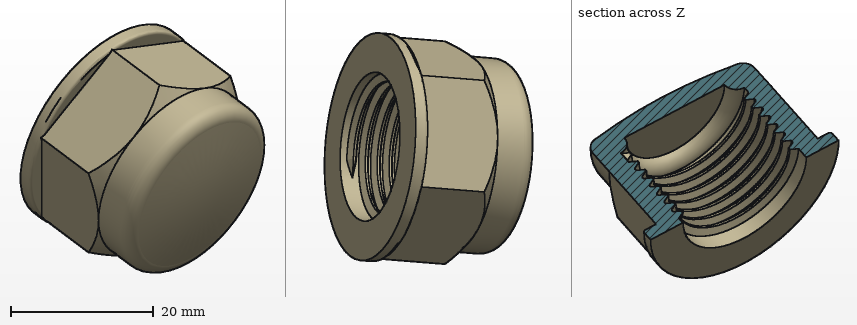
import cadquery as cq
import math


length = 20.5

flange_radius = 16.0
flange_thickness = 2.0
flange_edge_radius = 0.48

across_flats = 27.52
corner_radius = across_flats / 2 / math.cos(math.radians(30))
hex_end = 13.5
hex_bevel_start = 11.45

barrel_radius = across_flats / 2
dome_height = 0.95
shoulder_radius = 2.0
shoulder_end = length - dome_height
shoulder_start = shoulder_end - shoulder_radius
dome_edge_radius = barrel_radius - shoulder_radius
dome_radius = (dome_edge_radius**2 + dome_height**2) / (2 * dome_height)
half_dome_angle = math.asin(dome_edge_radius / dome_radius) / 2

bore_radius = 10.45
bore_depth = 15.35
lip_radius = 2.0
floor_depth = bore_depth + lip_radius
recess_radius = bore_radius - lip_radius

pitch = 1.82
turns = 7
thread_start = 0.95
ridge_height = 1.1
ridge_base = 1.57
ridge_crest = 0.4
ridge_embed = 0.1
runout_length = 2.55
runout_tip_scale = 0.05


def make_flange():
    disc = cq.Workplane("YZ").circle(flange_radius).extrude(flange_thickness)
    return disc.faces(">X").edges().fillet(flange_edge_radius)


def make_hexagon():
    prism = (
        cq.Workplane("YZ")
        .transformed(rotate=(0, 0, 30))
        .polygon(6, 2 * corner_radius)
        .extrude(hex_end)
    )
    envelope = (
        cq.Workplane("XY")
        .polyline([
            (0, 0),
            (0, corner_radius),
            (hex_bevel_start, corner_radius),
            (hex_end, barrel_radius),
            (hex_end, 0),
        ])
        .close()
        .revolve(360, (0, 0, 0), (1, 0, 0))
    )
    return prism.intersect(envelope)


def make_barrel():
    shoulder_mid = (
        shoulder_start + shoulder_radius * math.sin(math.radians(45)),
        dome_edge_radius + shoulder_radius * math.cos(math.radians(45)),
    )
    dome_mid = (
        length - dome_radius * (1 - math.cos(half_dome_angle)),
        dome_radius * math.sin(half_dome_angle),
    )
    return (
        cq.Workplane("XY")
        .moveTo(0, 0)
        .lineTo(0, barrel_radius)
        .lineTo(shoulder_start, barrel_radius)
        .threePointArc(shoulder_mid, (shoulder_end, dome_edge_radius))
        .threePointArc(dome_mid, (length, 0))
        .close()
        .revolve(360, (0, 0, 0), (1, 0, 0))
    )


def make_bore():
    lip_mid = (
        bore_depth + lip_radius * (1 - math.cos(math.radians(45))),
        recess_radius + lip_radius * (1 - math.sin(math.radians(45))),
    )
    return (
        cq.Workplane("XY")
        .moveTo(0, 0)
        .lineTo(0, bore_radius)
        .lineTo(bore_depth, bore_radius)
        .threePointArc(lip_mid, (floor_depth, recess_radius))
        .lineTo(floor_depth, 0)
        .close()
        .revolve(360, (0, 0, 0), (1, 0, 0))
    )


def ridge_section(scale):
    """Ridge trapezoid in the XZ plane, scaled towards the middle of its base."""
    middle = ridge_base / 2
    root = bore_radius + ridge_embed
    crest = bore_radius - ridge_height * scale
    half_base = ridge_base / 2 * scale
    half_crest = ridge_crest / 2 * scale
    return cq.Workplane("XZ").polyline([
        (root, middle - half_base),
        (crest, middle - half_crest),
        (crest, middle + half_crest),
        (root, middle + half_base),
    ]).close()


def make_thread():
    path = cq.Wire.makeHelix(pitch, pitch * turns, bore_radius)
    ridge = ridge_section(1).sweep(cq.Workplane(path), isFrenet=True)

    runout_angle = math.degrees(runout_length / bore_radius)
    tip = ridge_section(runout_tip_scale).wire().val()
    tip = tip.rotate(cq.Vector(0, 0, 0), cq.Vector(0, 0, 1), -runout_angle)
    start = ridge_section(1).wire().val()
    runout = cq.Solid.makeLoft([tip, start], True)

    thread = ridge.union(cq.Workplane(runout))
    thread = thread.rotate((0, 0, 0), (1, 1, 1), 120)
    return thread.translate((thread_start, 0, 0))


body = make_flange().union(make_hexagon()).union(make_barrel())
result = body.cut(make_bore()).union(make_thread())